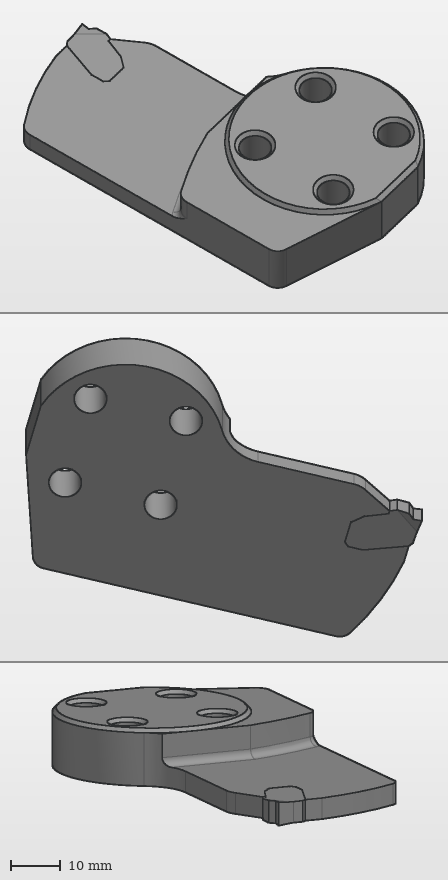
import cadquery as cq
import math


PLATE_THICKNESS = 4.35
RISER_HEIGHT = 11.0
DISC_HEIGHT = 11.8
DISC_BEVEL = DISC_HEIGHT - RISER_HEIGHT

DISC_RADIUS = 20.0
FLAT_X = 19.1
FLAT_BEVEL_WIDTH = 1.05
FRONT_Y = -30.0
FRONT_RIGHT_X = 11.2
CORNER_RADIUS = 3.0
BLADE_LEFT_X = -60.45
BLADE_ARC_TOP_Y = -9.9
BLADE_ARC_MIDDLE = (-58.35, -18.9)
BLADE_FRONT_LEFT = (-53.3, FRONT_Y)
BLADE_SEAT_Y = -4.0
BLADE_SLOPE_END = (-54.65, 0.5)
BLADE_BACK_Y = 4.6
BLADE_SLOPE_ANGLE = math.radians(30)
BLADE_SLOPE_ROUND = 5.2
NECK_RADIUS = 10.0

STEP_X = -19.9
STEP_BEND_Y = -12.65
STEP_ARC_MIDDLE = (-17.7, -20.2)
STEP_FRONT = (-13.6, FRONT_Y)
STEP_FILLET = 1.8

HOLE_DIAMETER = 6.5
HOLE_PITCH = 19.8
HOLE_CHAMFER = 0.8

INSERT_OUTLINE = [
    (-61.5, 0.1), (-59.7, -0.1), (-58.6, 1.0), (-56.1, 1.1),
    BLADE_SLOPE_END, (-54.65, -0.2), (-50.05, -2.0), (-47.8, -4.0),
    (-47.8, -8.6), (-48.7, -9.5), (-51.75, -9.5),
    (-60.45, -6.3), (-61.1, -5.4), (-61.2, -3.2),
]
HEAD_LINE_START = (-61.1, -2.7)
HEAD_LINE_END = (-56.1, 1.1)
HEAD_RISE = 0.25

CLEARANCE = 8.1


def holder_prism():
    """Full plan outline of the holder, extruded to the top of the base."""
    slope_corner_x = BLADE_SLOPE_END[0] + (BLADE_BACK_Y - BLADE_SLOPE_END[1]) / math.tan(BLADE_SLOPE_ANGLE)
    flat_half_length = math.sqrt(DISC_RADIUS**2 - FLAT_X**2)

    neck_y = BLADE_BACK_Y + NECK_RADIUS
    neck_reach = DISC_RADIUS + NECK_RADIUS
    neck_x = -math.sqrt(neck_reach**2 - neck_y**2)
    disc_share = DISC_RADIUS / neck_reach
    neck_end = (neck_x * disc_share, neck_y * disc_share)
    neck_middle_angle = (math.atan2(-neck_y, -neck_x) - math.pi / 2) / 2
    neck_middle = (
        neck_x + NECK_RADIUS * math.cos(neck_middle_angle),
        neck_y + NECK_RADIUS * math.sin(neck_middle_angle),
    )

    prism = (
        cq.Workplane("XY")
        .moveTo(FLAT_X, flat_half_length)
        .lineTo(FLAT_X, -flat_half_length)
        .lineTo(FRONT_RIGHT_X, FRONT_Y)
        .lineTo(*BLADE_FRONT_LEFT)
        .threePointArc(BLADE_ARC_MIDDLE, (BLADE_LEFT_X, BLADE_ARC_TOP_Y))
        .lineTo(BLADE_LEFT_X, BLADE_SEAT_Y)
        .lineTo(*BLADE_SLOPE_END)
        .lineTo(slope_corner_x, BLADE_BACK_Y)
        .lineTo(neck_x, BLADE_BACK_Y)
        .threePointArc(neck_middle, neck_end)
        .threePointArc((0, DISC_RADIUS), (FLAT_X, flat_half_length))
        .close()
        .extrude(RISER_HEIGHT)
    )
    front_right = cq.selectors.NearestToPointSelector((FRONT_RIGHT_X, FRONT_Y, RISER_HEIGHT / 2))
    front_left = cq.selectors.NearestToPointSelector((*BLADE_FRONT_LEFT, RISER_HEIGHT / 2))
    slope_corner = cq.selectors.NearestToPointSelector((slope_corner_x, BLADE_BACK_Y, RISER_HEIGHT / 2))
    prism = prism.edges("|Z").edges(front_right).fillet(CORNER_RADIUS)
    prism = prism.edges("|Z").edges(front_left).fillet(CORNER_RADIUS)
    return prism.edges("|Z").edges(slope_corner).fillet(BLADE_SLOPE_ROUND)


def step_cutter():
    """Space above the blade, rounded where the step meets the blade's top."""
    far_x = BLADE_LEFT_X - CLEARANCE
    far_y = DISC_RADIUS + CLEARANCE
    cutter = (
        cq.Workplane("XY", origin=(0, 0, PLATE_THICKNESS))
        .moveTo(far_x, far_y)
        .lineTo(STEP_X, far_y)
        .lineTo(STEP_X, STEP_BEND_Y)
        .threePointArc(STEP_ARC_MIDDLE, STEP_FRONT)
        .lineTo(0, FRONT_Y)
        .lineTo(0, FRONT_Y - CLEARANCE)
        .lineTo(far_x, FRONT_Y - CLEARANCE)
        .close()
        .extrude(DISC_HEIGHT)
    )
    front_corner = cq.selectors.NearestToPointSelector((*STEP_FRONT, PLATE_THICKNESS + DISC_HEIGHT / 2))
    cutter = cutter.edges("|Z").edges(front_corner).fillet(CORNER_RADIUS)
    return cutter.faces("<Z").edges().fillet(STEP_FILLET)


def raised_disc():
    """Bevelled disc that stands on the base, with the flat on its right."""
    disc = cq.Workplane("XY").circle(DISC_RADIUS).extrude(DISC_HEIGHT)
    disc = disc.faces(">Z").chamfer(DISC_BEVEL)
    bevel_keep = (
        cq.Workplane("XZ")
        .moveTo(-2 * DISC_RADIUS, RISER_HEIGHT)
        .lineTo(FLAT_X, RISER_HEIGHT)
        .lineTo(FLAT_X - FLAT_BEVEL_WIDTH, DISC_HEIGHT)
        .lineTo(-2 * DISC_RADIUS, DISC_HEIGHT)
        .close()
        .extrude(2 * DISC_RADIUS, both=True)
    )
    return disc.intersect(bevel_keep)


def mounting_holes():
    """Four through holes with chamfered mouths on the disc's top."""
    hole_radius = HOLE_DIAMETER / 2
    profile = (
        cq.Workplane("XZ")
        .lineTo(hole_radius, 0)
        .lineTo(hole_radius, DISC_HEIGHT - HOLE_CHAMFER)
        .lineTo(hole_radius + HOLE_CHAMFER, DISC_HEIGHT)
        .lineTo(0, DISC_HEIGHT)
        .close()
    )
    hole = profile.revolve(360, (0, 0), (0, 1)).val()
    return cq.Workplane("XY").rarray(HOLE_PITCH, HOLE_PITCH, 2, 2).eachpoint(hole, combine=False)


def make_insert():
    """Cutting insert, flush with the blade and thickening towards its tip."""
    prism = (
        cq.Workplane("XY", origin=(0, 0, -HEAD_RISE))
        .polyline(INSERT_OUTLINE)
        .close()
        .extrude(PLATE_THICKNESS + 2 * HEAD_RISE)
    )
    along_x = HEAD_LINE_END[0] - HEAD_LINE_START[0]
    along_y = HEAD_LINE_END[1] - HEAD_LINE_START[1]
    tip_x = INSERT_OUTLINE[0][0] - HEAD_LINE_START[0]
    tip_y = INSERT_OUTLINE[0][1] - HEAD_LINE_START[1]
    head_length = (along_x * tip_y - along_y * tip_x) / math.hypot(along_x, along_y)
    body_reach = -BLADE_LEFT_X
    head_plane = cq.Plane(
        origin=(*HEAD_LINE_START, 0),
        xDir=(-along_y, along_x, 0),
        normal=(along_x, along_y, 0),
    )
    thickness = (
        cq.Workplane(head_plane)
        .moveTo(-body_reach, 0)
        .lineTo(0, 0)
        .lineTo(head_length, -HEAD_RISE)
        .lineTo(head_length, PLATE_THICKNESS + HEAD_RISE)
        .lineTo(0, PLATE_THICKNESS)
        .lineTo(-body_reach, PLATE_THICKNESS)
        .close()
        .extrude(body_reach, both=True)
    )
    return prism.intersect(thickness).solids()


def make_holder():
    """Blade, base and disc in one piece, with the through seat for the insert."""
    seat = (
        cq.Workplane("XY")
        .polyline(INSERT_OUTLINE)
        .close()
        .extrude(PLATE_THICKNESS)
    )
    base = holder_prism().cut(step_cutter())
    return base.union(raised_disc()).cut(mounting_holes()).cut(seat).solids()


holder = make_holder()
insert = make_insert()
result = cq.Compound.makeCompound([holder.val(), insert.val()])